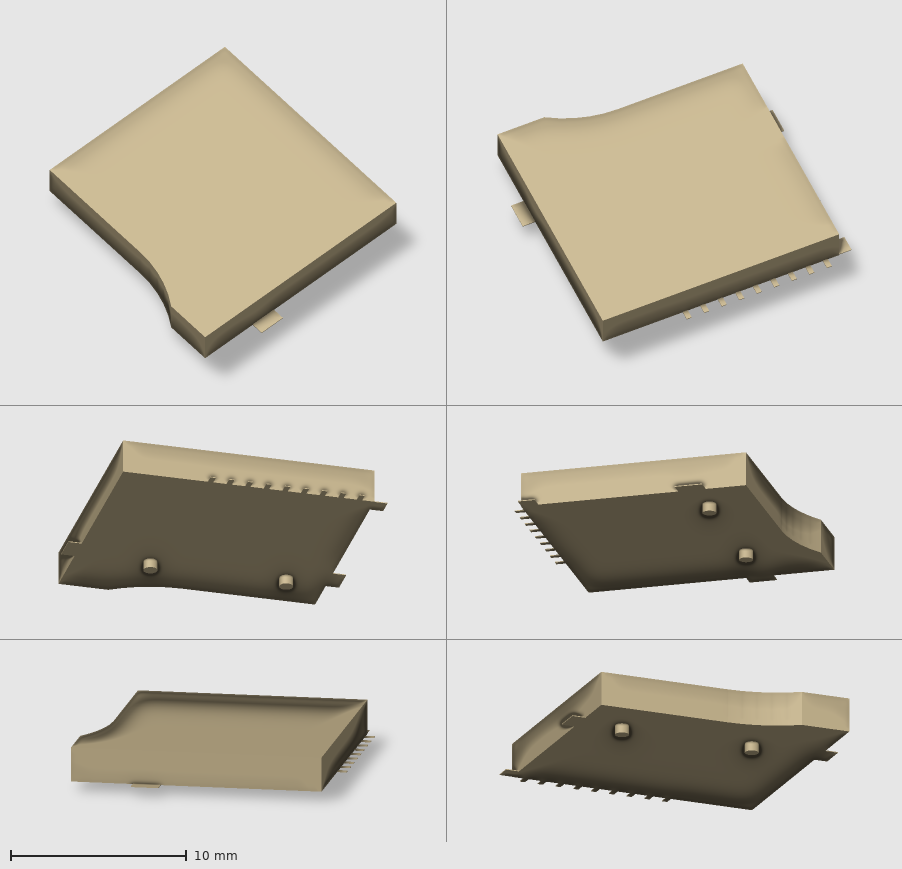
import cadquery as cq
import math

overall_width = 16.35
overall_depth = 15.05
overall_height = 2.55

body_width = 14.78
body_depth = 14.49
body_height = 2.0
relief_depth = 1.21
relief_flat_length = 7.8
front_lip_width = 2.93

sheet_thickness = 0.05
tab_length = (overall_width - body_width) / 2
side_tab_width = 1.6
side_tab_setback = 9.29
rear_tab_width = 0.98
rear_tab_setback = 0.03

contact_count = 9
contact_pitch = 1.1
contact_width = 0.31
contact_length = overall_depth - body_depth
first_contact_inset = 0.87

peg_diameter = 0.8
peg_height = overall_height - body_height
peg_count = 2
peg_spacing = 8.0
first_peg_inset = 2.44
peg_setback = 10.46

body_left = -body_width / 2
body_right = body_width / 2


def make_body():
    """Flat housing whose front edge steps forward through a tangent arc."""
    relief_y = relief_depth - body_depth
    arc_start_x = body_left + relief_flat_length
    arc_end_x = body_right - front_lip_width
    arc_run = arc_end_x - arc_start_x
    arc_radius = (arc_run**2 + relief_depth**2) / (2 * relief_depth)
    half_angle = math.asin(arc_run / arc_radius) / 2
    arc_middle = (
        arc_start_x + arc_radius * math.sin(half_angle),
        relief_y - arc_radius * (1 - math.cos(half_angle)),
    )
    return (
        cq.Workplane("XY")
        .moveTo(body_left, 0)
        .lineTo(body_left, relief_y)
        .lineTo(arc_start_x, relief_y)
        .threePointArc(arc_middle, (arc_end_x, -body_depth))
        .lineTo(body_right, -body_depth)
        .lineTo(body_right, 0)
        .close()
        .extrude(body_height)
    )


def make_strip(left, front, width, depth):
    """Thin sheet-metal strip placed by its left front corner."""
    strip = cq.Workplane("XY").box(width, depth, sheet_thickness, centered=False)
    return strip.translate((left, front, 0))


def make_peg(x):
    """Round locating peg hanging from the underside."""
    return cq.Workplane("XY").center(x, -peg_setback).circle(peg_diameter / 2).extrude(-peg_height)


result = make_body()

side_tab_front = -side_tab_setback - side_tab_width
for tab_left in (body_left - tab_length, body_right):
    result = result.union(make_strip(tab_left, side_tab_front, tab_length, side_tab_width))
rear_tab_front = -rear_tab_setback - rear_tab_width
result = result.union(make_strip(body_left - tab_length, rear_tab_front, tab_length, rear_tab_width))

for index in range(contact_count):
    contact_x = body_left + first_contact_inset + index * contact_pitch
    result = result.union(make_strip(contact_x - contact_width / 2, 0, contact_width, contact_length))

for peg_index in range(peg_count):
    result = result.union(make_peg(body_left + first_peg_inset + peg_index * peg_spacing))